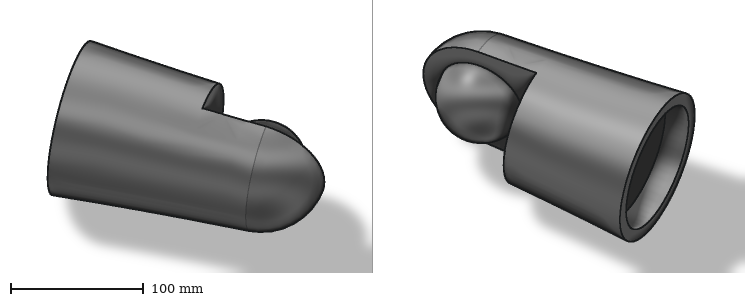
import cadquery as cq
import math

length = 200.0
base_radius = 60.0
nose_radius = 50.0
nose_start = 153.5
flank_hollow = 0.8

recess_radius = 50.0
recess_depth = 20.0

cutaway_start = 103.5
ball_radius = 34.8

nose_center_x = length - nose_radius
ball_x = nose_center_x
nose_start_radius = math.sqrt(nose_radius**2 - (nose_start - nose_center_x) ** 2)
nose_mid_offset = nose_radius * math.sqrt(0.5)
flank_mid = (nose_start / 2, (base_radius + nose_start_radius) / 2 - flank_hollow)


def make_body():
    """Revolve the slightly concave flank and its round nose about X."""
    return (
        cq.Workplane("XZ")
        .lineTo(0, base_radius)
        .threePointArc(flank_mid, (nose_start, nose_start_radius))
        .threePointArc((nose_center_x + nose_mid_offset, nose_mid_offset), (length, 0))
        .close()
        .revolve(360, (0, 0, 0), (1, 0, 0))
    )


def make_cutaway():
    """Block that clears the +Y half of the front part of the body."""
    block = cq.Workplane("XY").box(
        length - cutaway_start, base_radius, 2 * base_radius, centered=(False, False, True)
    )
    return block.translate((cutaway_start, 0, 0))


def make_recess():
    """Shallow round pocket sunk into the flat end."""
    return cq.Workplane("YZ").circle(recess_radius).extrude(recess_depth)


def make_ball():
    """Ball half sunk into the flat, concentric with the nose."""
    return cq.Workplane("XY").sphere(ball_radius).translate((ball_x, 0, 0))


result = make_body().cut(make_cutaway()).cut(make_recess()).union(make_ball())